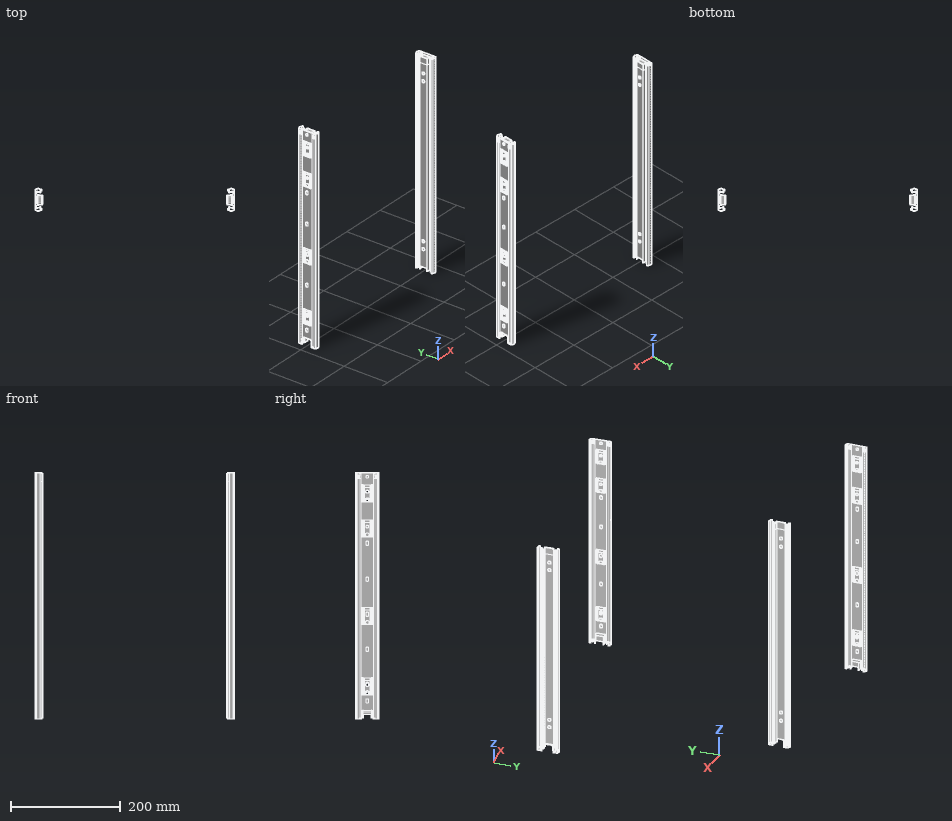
import cadquery as cq
import math


PAIR_WIDTH = 364.0
RAIL_LENGTH = 450.0
SLIDE_DEPTH = 14.0
SHEET = 1.2
END_INSET = 2.0
MOVING_LENGTH = RAIL_LENGTH - 2 * END_INSET

OUTER_HALF_WIDTH = 21.2
CROWN_RADIUS = 5.0
CROWN_U = 5.7
CROWN_Y = OUTER_HALF_WIDTH - CROWN_RADIUS
CROWN_BORE_RADIUS = CROWN_RADIUS - SHEET
CROWN_START_U = 2.3
CROWN_END_U = 9.4
CORNER_RADIUS = 2.2
LIP_U = 12.3
LIP_END_Y = CROWN_Y
LIP_ROUND = 1.4

MIDDLE_U = 1.7
CHANNEL_SHIFT = 2.2
CHANNEL_HALF = 9.5
CHANNEL_SLOPE = 1.5
MIDDLE_HALF_WIDTH = 15.0
MIDDLE_BEND = 1.0
MIDDLE_FLANGE_U = 9.3
MIDDLE_LIP_U = 11.2
MIDDLE_LIP_DROP = 1.6

INNER_SHEET = 1.0
INNER_HALF_WIDTH = 9.1
INNER_FOOT_U = 5.3
INNER_FLARE_U = 7.2
INNER_FLARE = 1.0
INNER_ROUND = 1.2

TONGUE_TOPS = (427.4, 363.4, 203.4, 75.4)
LANCE_LENGTH = 30.6
LANCE_HALF = 8.8
TONGUE_FLAT_HALF = 5.6
TONGUE_LEG_HALF = 7.0
TONGUE_OVERLAP = 0.5
HOOK_DEPTH = 4.6
HOOK_HALF = 4.8
ACCESS_DIAMETER = 7.0
ACCESS_DROP = LANCE_LENGTH - 3.5
SCREW_DROP = 12.0
SCREW_DIAMETER = 5.0
SLOT_WIDTH = 5.0
SLOT_LENGTH = 8.0
TONGUES_WITH_ROUND_HOLES = TONGUE_TOPS[:2]
TONGUES_WITH_SLOTS = TONGUE_TOPS[2:]
THROUGH_TONGUES = (TONGUE_TOPS[0], TONGUE_TOPS[-1])
WEB_SLOT_HEIGHTS = (321.0, 255.4, 127.4, 33.0)
TOP_HOLE_Z = 442.4

CLEAR_DIAMETER = 6.0
CLEAR_DROPS = (12.8, 29.3)

WINDOW_INNER_Y = 11.8
WINDOW_OUTER_Y = 17.0
WINDOW_BOTTOM = 439.6
WINDOW_HEIGHT = 6.0
TAB_Y = 15.1
TAB_THICKNESS = 1.0
TAB_REACH = 4.0

OUTER_NOTCH_HALF = 10.3
OUTER_NOTCH_TOP = 16.0
OUTER_NOTCH_RADIUS = 3.8
MIDDLE_NOTCH_HALF = 8.8
MIDDLE_NOTCH_TOP = 13.2
INNER_NOTCH_HALF = 7.2
INNER_NOTCH_TOP = 8.2

STOP_HEIGHT = 14.0
STOP_CORNER_RADIUS = 2.5
STOP_FRONT_U = 12.2
STOP_HALF_WIDTH = INNER_HALF_WIDTH - INNER_SHEET


def crown_y(u, radius):
    """Height of the ball-race crown at depth u, for the outer or the inner face."""
    return CROWN_Y + math.sqrt(radius**2 - (u - CROWN_U) ** 2)


def both_halves(half_section, length, bottom):
    """Extrude the +Y half of a section along Z and join it to its mirror image."""
    half = half_section.extrude(length).translate((0, 0, bottom))
    return half.union(half.mirror("XZ"))


def block(u_range, y_range, z_range):
    """A box between two limits on each axis."""
    (u0, u1), (y0, y1), (z0, z1) = u_range, y_range, z_range
    return cq.Workplane("XY").box(u1 - u0, y1 - y0, z1 - z0, centered=False).translate((u0, y0, z0))


def cross_hole(diameter, z):
    """A round cutter running through the whole depth of the slide."""
    return cq.Workplane("YZ").center(0, z).circle(diameter / 2).extrude(SLIDE_DEPTH)


def cross_slot(z):
    """An upright slot cutter running through the whole depth of the slide."""
    return cq.Workplane("YZ").center(0, z).slot2D(SLOT_LENGTH, SLOT_WIDTH, 90).extrude(SLIDE_DEPTH)


def outer_section():
    """Half of the outer rail: web, rounded corner, ball-race crown and folded lip."""
    crown_start = (CROWN_START_U, crown_y(CROWN_START_U, CROWN_RADIUS))
    crown_end = (CROWN_END_U, crown_y(CROWN_END_U, CROWN_RADIUS))
    bore_start_u = CROWN_START_U + SHEET / 2
    bore_start = (bore_start_u, crown_y(bore_start_u, CROWN_BORE_RADIUS))
    corner_y = crown_start[1] - CORNER_RADIUS
    corner_mid = CORNER_RADIUS * (1 - math.sqrt(0.5))
    return (
        cq.Workplane("XY")
        .lineTo(0, corner_y)
        .threePointArc((corner_mid, crown_start[1] - corner_mid), (CORNER_RADIUS, crown_start[1]))
        .lineTo(*crown_start)
        .threePointArc((CROWN_U, OUTER_HALF_WIDTH), crown_end)
        .lineTo(LIP_U - LIP_ROUND, crown_end[1])
        .radiusArc((LIP_U, crown_end[1] - LIP_ROUND), LIP_ROUND)
        .lineTo(LIP_U, LIP_END_Y)
        .lineTo(CROWN_U + CROWN_BORE_RADIUS, LIP_END_Y)
        .threePointArc((CROWN_U, CROWN_Y + CROWN_BORE_RADIUS), bore_start)
        .lineTo(SHEET, bore_start[1])
        .lineTo(SHEET, 0)
        .close()
    )


def tongue(top):
    """A tongue one sheet behind the web, with legs folded inward and a mouth at its upper end."""
    leg_run = TONGUE_LEG_HALF - TONGUE_FLAT_HALF
    leg_offset = SHEET * math.sqrt(0.5)
    front = SHEET
    back = 2 * SHEET
    bend_back_y = TONGUE_FLAT_HALF - 2 * leg_offset + SHEET
    half = (
        cq.Workplane("XY")
        .moveTo(front, 0)
        .lineTo(front, TONGUE_FLAT_HALF)
        .lineTo(front + leg_run, TONGUE_LEG_HALF)
        .lineTo(front + leg_run + leg_offset, TONGUE_LEG_HALF - leg_offset)
        .lineTo(back, bend_back_y)
        .lineTo(back, 0)
        .close()
    )
    root = top - LANCE_LENGTH - TONGUE_OVERLAP
    mouth = block((front, back), (-HOOK_HALF, HOOK_HALF), (top - HOOK_DEPTH, top))
    return both_halves(half, top - root, root).cut(mouth)


def outer_rail():
    rail = both_halves(outer_section(), RAIL_LENGTH, 0)
    for top in TONGUE_TOPS:
        opening = block((0, SHEET), (-LANCE_HALF, LANCE_HALF), (top - LANCE_LENGTH, top))
        rail = rail.cut(opening).union(tongue(top))
        rail = rail.cut(cross_hole(ACCESS_DIAMETER, top - ACCESS_DROP))
    for top in TONGUES_WITH_ROUND_HOLES:
        rail = rail.cut(cross_hole(SCREW_DIAMETER, top - SCREW_DROP))
    for top in TONGUES_WITH_SLOTS:
        rail = rail.cut(cross_slot(top - SCREW_DROP))
    for z in WEB_SLOT_HEIGHTS:
        rail = rail.cut(cross_slot(z))
    rail = rail.cut(cross_hole(SCREW_DIAMETER, TOP_HOLE_Z))

    window_z = (WINDOW_BOTTOM, WINDOW_BOTTOM + WINDOW_HEIGHT)
    window = block((0, SHEET), (WINDOW_INNER_Y, WINDOW_OUTER_Y), window_z)
    tab = block((0, TAB_REACH), (TAB_Y, TAB_Y + TAB_THICKNESS), window_z)
    rail = rail.cut(window).cut(window.mirror("XZ"))
    rail = rail.union(tab).union(tab.mirror("XZ"))
    notch = block(
        (0, SHEET),
        (-OUTER_NOTCH_HALF, OUTER_NOTCH_HALF),
        (-OUTER_NOTCH_TOP, OUTER_NOTCH_TOP),
    ).edges("|X").fillet(OUTER_NOTCH_RADIUS)
    return rail.cut(notch)


def middle_section():
    """Half of the middle rail: set-back channel, web, flange and turned-in lip."""
    face = MIDDLE_U
    back = MIDDLE_U + SHEET
    slope_end = CHANNEL_HALF + CHANNEL_SLOPE
    inner_y = MIDDLE_HALF_WIDTH - SHEET
    return (
        cq.Workplane("XY")
        .moveTo(face + CHANNEL_SHIFT, 0)
        .lineTo(face + CHANNEL_SHIFT, CHANNEL_HALF)
        .lineTo(face, slope_end)
        .lineTo(face, MIDDLE_HALF_WIDTH - MIDDLE_BEND)
        .radiusArc((face + MIDDLE_BEND, MIDDLE_HALF_WIDTH), MIDDLE_BEND)
        .lineTo(MIDDLE_FLANGE_U, MIDDLE_HALF_WIDTH)
        .lineTo(MIDDLE_LIP_U, MIDDLE_HALF_WIDTH - MIDDLE_LIP_DROP)
        .lineTo(MIDDLE_FLANGE_U, inner_y - MIDDLE_LIP_DROP)
        .lineTo(MIDDLE_FLANGE_U - SHEET, inner_y)
        .lineTo(back, inner_y)
        .lineTo(back, slope_end)
        .lineTo(back + CHANNEL_SHIFT, CHANNEL_HALF)
        .lineTo(back + CHANNEL_SHIFT, 0)
        .close()
    )


def middle_rail():
    rail = both_halves(middle_section(), MOVING_LENGTH, END_INSET)
    notch = block(
        (0, INNER_FOOT_U), (-MIDDLE_NOTCH_HALF, MIDDLE_NOTCH_HALF), (0, MIDDLE_NOTCH_TOP)
    )
    return with_clear_holes(rail.cut(notch))


def with_clear_holes(rail):
    """Drill the screwdriver holes in line with the uppermost and lowermost tongues."""
    for top in THROUGH_TONGUES:
        for drop in CLEAR_DROPS:
            rail = rail.cut(cross_hole(CLEAR_DIAMETER, top - drop))
    return rail


def inner_section():
    """Half of the inner rail: flat front, flange and flared foot."""
    flange = INNER_HALF_WIDTH
    flange_inside = INNER_HALF_WIDTH - INNER_SHEET
    return (
        cq.Workplane("XY")
        .moveTo(SLIDE_DEPTH, 0)
        .lineTo(SLIDE_DEPTH, flange - INNER_ROUND)
        .radiusArc((SLIDE_DEPTH - INNER_ROUND, flange), -INNER_ROUND)
        .lineTo(INNER_FLARE_U, flange)
        .lineTo(INNER_FLARE_U - INNER_FLARE, flange + INNER_FLARE)
        .lineTo(INNER_FOOT_U, flange + INNER_FLARE)
        .lineTo(INNER_FOOT_U, flange_inside)
        .lineTo(SLIDE_DEPTH - INNER_SHEET, flange_inside)
        .lineTo(SLIDE_DEPTH - INNER_SHEET, 0)
        .close()
    )


def inner_rail():
    rail = both_halves(inner_section(), MOVING_LENGTH, END_INSET)
    notch = block(
        (SLIDE_DEPTH - INNER_SHEET, SLIDE_DEPTH),
        (-INNER_NOTCH_HALF, INNER_NOTCH_HALF),
        (0, INNER_NOTCH_TOP),
    )
    return with_clear_holes(rail.cut(notch))


def end_stop():
    """Block filling the upper end of the inner rail, rounded at its top corners."""
    top = RAIL_LENGTH - END_INSET
    body = block(
        (INNER_FOOT_U, STOP_FRONT_U),
        (-STOP_HALF_WIDTH, STOP_HALF_WIDTH),
        (top - STOP_HEIGHT, top),
    )
    return body.edges("|X and >Z").fillet(STOP_CORNER_RADIUS)


bodies = []
for part in (outer_rail(), middle_rail(), inner_rail(), end_stop()):
    left = part.translate((-PAIR_WIDTH / 2, 0, 0))
    bodies.extend(left.vals())
    bodies.extend(left.mirror("YZ").vals())

result = cq.Compound.makeCompound(bodies)